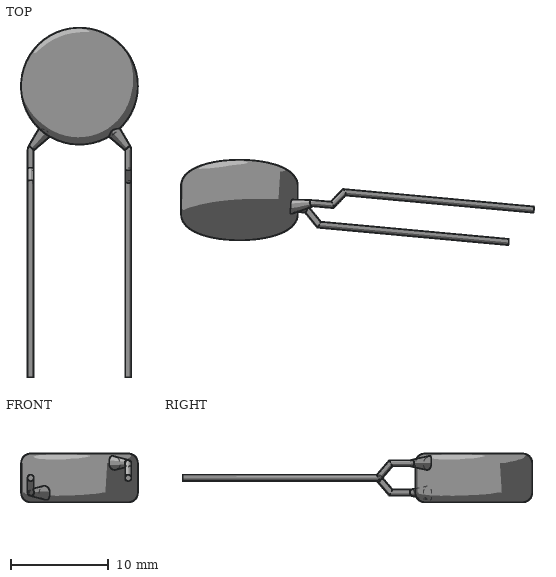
import cadquery as cq
import math


DISC_DIAMETER = 12.0
DISC_HEIGHT = 5.0
EDGE_RADIUS = 1.0

OVERALL_LENGTH = 35.8
LEAD_RADIUS = 0.325
LEAD_SPACING = 10.0
ELBOW_RADIUS = 0.35
ELBOW_ANGLE = 40.0
ELBOW_Y = -6.55
JOG_START_Y = -8.5
JOG_END_Y = -9.77

CONE_TIP_RADIUS = 0.35
CONE_HALF_ANGLE = 9.5
CONE_LENGTH = 3.22

DISC_RADIUS = DISC_DIAMETER / 2
LEAD_X = LEAD_SPACING / 2
LEAD_END_Y = DISC_RADIUS - OVERALL_LENGTH
EXIT_HEIGHT = DISC_HEIGHT / 2 - EDGE_RADIUS
CONE_BASE_RADIUS = CONE_TIP_RADIUS + CONE_LENGTH * math.tan(math.radians(CONE_HALF_ANGLE))


def elbow_point(side, exit_z, angle):
    """Point on the elbow centreline, at an angle in degrees from where the straight lead starts."""
    turn = math.radians(angle)
    x = LEAD_X - ELBOW_RADIUS + ELBOW_RADIUS * math.cos(turn)
    return cq.Vector(side * x, ELBOW_Y + ELBOW_RADIUS * math.sin(turn), exit_z)


def cone_direction(side):
    """Unit vector along the cone axis, from the lead toward the disc."""
    turn = math.radians(ELBOW_ANGLE)
    return cq.Vector(-side * math.sin(turn), math.cos(turn), 0)


def make_housing():
    disc = cq.Workplane("XY", origin=(0, 0, -DISC_HEIGHT / 2)).circle(DISC_RADIUS).extrude(DISC_HEIGHT)
    return disc.faces("|Z").edges().fillet(EDGE_RADIUS)


def make_coating_cone(side, exit_z, housing):
    """Cone from the elbow to the disc, its wide end shaped to the disc surface."""
    tip = elbow_point(side, exit_z, ELBOW_ANGLE)
    cone = cq.Solid.makeCone(CONE_TIP_RADIUS, CONE_BASE_RADIUS, CONE_LENGTH, tip, cone_direction(side))
    return cq.Workplane(obj=cone).cut(housing)


def make_lead(side, exit_z):
    """Round wire with an elbow at the cone and a mitred jog down or up to mid-height."""
    x = side * LEAD_X
    tip = elbow_point(side, exit_z, ELBOW_ANGLE)
    elbow = cq.Edge.makeThreePointArc(
        tip,
        elbow_point(side, exit_z, ELBOW_ANGLE / 2),
        elbow_point(side, exit_z, 0),
    )
    corners = [
        cq.Vector(x, ELBOW_Y, exit_z),
        cq.Vector(x, JOG_START_Y, exit_z),
        cq.Vector(x, JOG_END_Y, 0),
        cq.Vector(x, LEAD_END_Y, 0),
    ]
    straights = [cq.Edge.makeLine(start, end) for start, end in zip(corners, corners[1:])]
    path = cq.Wire.assembleEdges([elbow, *straights])
    section = cq.Workplane(cq.Plane(origin=tip, normal=cone_direction(side))).circle(LEAD_RADIUS)
    return section.sweep(cq.Workplane(obj=path), transition="right")


housing = make_housing()

coating_cones = []
leads = []
for side in (-1, 1):
    exit_z = side * EXIT_HEIGHT
    coating_cones.append(make_coating_cone(side, exit_z, housing).val())
    leads.append(make_lead(side, exit_z).val())

result = cq.Compound.makeCompound([housing.val(), *coating_cones, *leads])